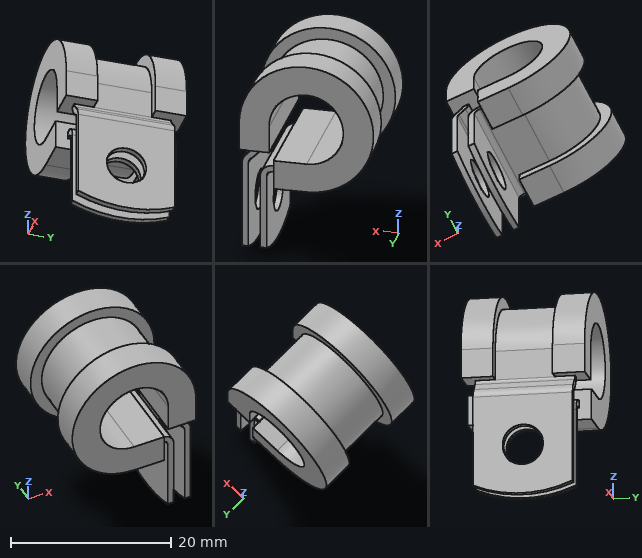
import cadquery as cq
import math


cushion_diameter = 17.25
bore_diameter = 9.5
cushion_width = 15.75
upper_leg_drop = 3.7
lower_leg_reach = 4.2

strap_thickness = 0.83
strap_outer_radius = 7.07
groove_width = 7.57

overall_height = 27.62
tab_width = 12.65
tab_gap = 1.52
tab_end_sagitta = 1.3
hole_diameter = 5.15
hole_drop = 12.68
bend_inner_radius = 0.75

cushion_radius = cushion_diameter / 2
bore_radius = bore_diameter / 2
tab_bottom = cushion_radius - overall_height
strap_inner_radius = strap_outer_radius - strap_thickness
front_tab_outer = cushion_radius
front_tab_inner = front_tab_outer - strap_thickness
rear_tab_outer = front_tab_inner - tab_gap
rear_tab_inner = rear_tab_outer - strap_thickness


def loop_profile(outer_radius, inner_radius):
    """Three-quarter ring in XZ with straight legs tangent at both ends."""
    diagonal = math.sqrt(0.5)
    return (
        cq.Workplane("XZ")
        .moveTo(outer_radius, -upper_leg_drop)
        .lineTo(outer_radius, 0)
        .threePointArc((-outer_radius * diagonal, outer_radius * diagonal), (0, -outer_radius))
        .lineTo(lower_leg_reach, -outer_radius)
        .lineTo(lower_leg_reach, -inner_radius)
        .lineTo(0, -inner_radius)
        .threePointArc((-inner_radius * diagonal, inner_radius * diagonal), (inner_radius, 0))
        .lineTo(inner_radius, -upper_leg_drop)
        .close()
    )


def on_circle(center, radius, degrees):
    angle = math.radians(degrees)
    return (center[0] + radius * math.cos(angle), center[1] + radius * math.sin(angle))


def make_loop():
    """Cushion with an open groove down to the strap surface."""
    core = loop_profile(strap_outer_radius, bore_radius).extrude(cushion_width / 2, both=True)
    full = loop_profile(cushion_radius, bore_radius).extrude(cushion_width / 2, both=True)
    middle = loop_profile(cushion_radius, bore_radius).extrude(groove_width / 2, both=True)
    return full.cut(middle).union(core)


def make_elbow_tab():
    """Tab leaving the lower leg along +X, then turning straight down."""
    outer_radius = bend_inner_radius + strap_thickness
    center = (rear_tab_outer - outer_radius, -strap_inner_radius - outer_radius)
    return (
        cq.Workplane("XZ")
        .moveTo(lower_leg_reach, -strap_inner_radius)
        .lineTo(*on_circle(center, outer_radius, 90))
        .threePointArc(on_circle(center, outer_radius, 45), on_circle(center, outer_radius, 0))
        .lineTo(rear_tab_outer, tab_bottom)
        .lineTo(rear_tab_inner, tab_bottom)
        .lineTo(*on_circle(center, bend_inner_radius, 0))
        .threePointArc(
            on_circle(center, bend_inner_radius, 45), on_circle(center, bend_inner_radius, 90)
        )
        .lineTo(lower_leg_reach, -strap_outer_radius)
        .close()
        .extrude(tab_width / 2, both=True)
    )


def make_jogged_tab():
    """Tab leaving the upper leg downward, with a 45 degree jog toward +X."""
    small = bend_inner_radius
    large = bend_inner_radius + strap_thickness
    bend_drop = (small + large) * math.sqrt(0.5)
    upper = (strap_outer_radius + small, -upper_leg_drop)
    lower_x = front_tab_outer - large
    shift = lower_x - upper[0] + bend_drop
    lower = (lower_x, upper[1] - bend_drop - shift)
    return (
        cq.Workplane("XZ")
        .moveTo(*on_circle(upper, large, 180))
        .threePointArc(on_circle(upper, large, 202.5), on_circle(upper, large, 225))
        .lineTo(*on_circle(lower, small, 45))
        .threePointArc(on_circle(lower, small, 22.5), on_circle(lower, small, 0))
        .lineTo(front_tab_inner, tab_bottom)
        .lineTo(front_tab_outer, tab_bottom)
        .lineTo(*on_circle(lower, large, 0))
        .threePointArc(on_circle(lower, large, 22.5), on_circle(lower, large, 45))
        .lineTo(*on_circle(upper, small, 225))
        .threePointArc(on_circle(upper, small, 202.5), on_circle(upper, small, 180))
        .close()
        .extrude(tab_width / 2, both=True)
    )


def tab_envelope():
    """Tab outline in YZ with its bowed lower end, extruded across both tabs."""
    half_width = tab_width / 2
    corner_z = tab_bottom + tab_end_sagitta
    return (
        cq.Workplane("YZ")
        .moveTo(-half_width, 0)
        .lineTo(-half_width, corner_z)
        .threePointArc((0, tab_bottom), (half_width, corner_z))
        .lineTo(half_width, 0)
        .close()
        .extrude(cushion_diameter)
    )


bolt_hole = (
    cq.Workplane("YZ").center(0, -hole_drop).circle(hole_diameter / 2).extrude(cushion_diameter)
)
tabs = make_elbow_tab().add(make_jogged_tab()).combine()
tabs = tabs.intersect(tab_envelope()).cut(bolt_hole)

result = make_loop().union(tabs)